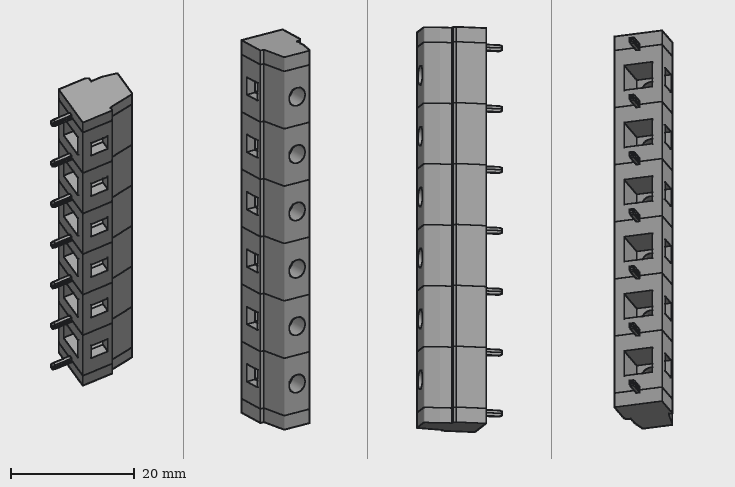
import cadquery as cq
import math



LENGTH = 65.0
MODULE_COUNT = 6
END_BLOCK_HEIGHT = 2.5
MODULE_HEIGHT = (LENGTH - 2 * END_BLOCK_HEIGHT) / MODULE_COUNT

BODY_WIDTH = 8.1
BODY_DEPTH = 10.0
SHOULDER_Y = 5.45
BACK_HALF_WIDTH = 2.55
LEFT_WALL_X = -3.05
LEFT_TAPER_START_Y = 7.5
RIGHT_WALL_X = 3.4
BACK_EDGE_RADIUS = 0.2

COVE_WIDTH = 0.28
COVE_HEIGHT = 0.49
COVE_SAG = 0.025

POCKET_WIDTH = 4.8
POCKET_HEIGHT = 4.35
POCKET_DEPTH = 6.5
HOLE_DIAMETER = 3.1
WINDOW_SIZE = 3.05
WINDOW_START_Y = 1.55

PIN_WIDTH = 0.62
PIN_HEIGHT = 1.0
PIN_LENGTH = 3.5
PIN_TIP_LENGTH = 0.45
PIN_TIP_HEIGHT = 0.65


def block(bottom, height):
    """Plain length of the stepped and tapered section."""
    half_width = BODY_WIDTH / 2
    cove_top = (-half_width + COVE_WIDTH, SHOULDER_Y)
    cove_bottom = (-half_width, SHOULDER_Y - COVE_HEIGHT)
    chord = math.hypot(COVE_WIDTH, COVE_HEIGHT)
    cove_middle = (
        (cove_top[0] + cove_bottom[0]) / 2 + COVE_SAG * COVE_HEIGHT / chord,
        (cove_top[1] + cove_bottom[1]) / 2 - COVE_SAG * COVE_WIDTH / chord,
    )
    body = (
        cq.Workplane("XY")
        .workplane(offset=bottom)
        .moveTo(-half_width, 0)
        .lineTo(half_width, 0)
        .lineTo(half_width, SHOULDER_Y)
        .lineTo(RIGHT_WALL_X, SHOULDER_Y)
        .lineTo(BACK_HALF_WIDTH, BODY_DEPTH)
        .lineTo(-BACK_HALF_WIDTH, BODY_DEPTH)
        .lineTo(LEFT_WALL_X, LEFT_TAPER_START_Y)
        .lineTo(LEFT_WALL_X, SHOULDER_Y)
        .lineTo(*cove_top)
        .threePointArc(cove_middle, cove_bottom)
        .close()
        .extrude(height)
    )
    return body.faces(">Y").edges("|Z").fillet(BACK_EDGE_RADIUS)


def half_pin(joint, side):
    """Half of a pin with a tapered tip, above (side = 1) or below (side = -1) its joint."""
    outline = [
        (0, joint),
        (0, joint + side * PIN_HEIGHT / 2),
        (-PIN_LENGTH + PIN_TIP_LENGTH, joint + side * PIN_HEIGHT / 2),
        (-PIN_LENGTH, joint + side * PIN_TIP_HEIGHT / 2),
        (-PIN_LENGTH, joint),
    ]
    return cq.Workplane("YZ").polyline(outline).close().extrude(PIN_WIDTH / 2, both=True)


def bottom_end_block(bottom):
    body = block(bottom, END_BLOCK_HEIGHT)
    return body.union(half_pin(bottom + END_BLOCK_HEIGHT, -1))


def top_end_block(bottom):
    return block(bottom, END_BLOCK_HEIGHT).union(half_pin(bottom, 1))


def pole_module(bottom):
    top = bottom + MODULE_HEIGHT
    middle = (bottom + top) / 2

    pocket = (
        cq.Workplane("XY")
        .box(POCKET_WIDTH, POCKET_DEPTH, POCKET_HEIGHT, centered=(True, False, True))
        .translate((0, 0, middle))
    )
    hole = cq.Workplane("XZ").center(0, middle).circle(HOLE_DIAMETER / 2).extrude(-BODY_DEPTH)
    window = (
        cq.Workplane("XY")
        .box(BODY_WIDTH / 2, WINDOW_SIZE, WINDOW_SIZE, centered=(False, False, True))
        .translate((0, WINDOW_START_Y, middle))
    )

    body = block(bottom, MODULE_HEIGHT).cut(pocket).cut(hole).cut(window)
    return body.union(half_pin(bottom, 1)).union(half_pin(top, -1))


bottom_end = bottom_end_block(-LENGTH / 2)
top_end = top_end_block(LENGTH / 2 - END_BLOCK_HEIGHT)

modules = []
for index in range(MODULE_COUNT):
    module_bottom = -LENGTH / 2 + END_BLOCK_HEIGHT + index * MODULE_HEIGHT
    modules.append(pole_module(module_bottom).val())

result = cq.Compound.makeCompound([bottom_end.val(), *modules, top_end.val()])